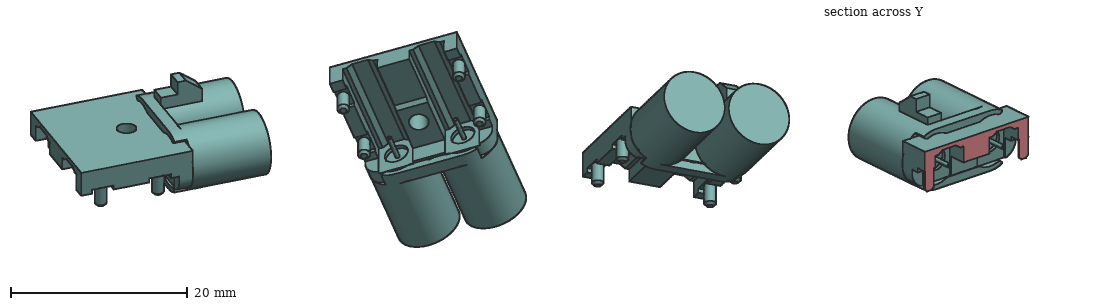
import cadquery as cq
import math

LENGTH = 23.2
WIDTH = 15.5
HEIGHT = 10.0

BARREL_DIA = 7.5
BARREL_RADIUS = BARREL_DIA / 2
BARREL_START = 13.65
COLLAR_START = 12.15
AXIS_X = (WIDTH - BARREL_DIA) / 2

BASE_HALF_WIDTH = 7.65
BASE_TOP = 2.78
BASE_BOTTOM = -0.2
WALL_START = 12.0
WALL_BOTTOM = -2.71
WALL_CORNER_RADIUS = 2.0
MOUNT_HOLE_DIA = 2.25
MOUNT_HOLE_Y = 8.63

POCKET_HALF_WIDTH = 2.09
POCKET_SHOULDER_Z = 1.79
POCKET_TOP = 2.23
POCKET_TOP_HALF_WIDTH = 0.95
POCKET_SHOULDER_HALF_WIDTH = 1.62
POCKET_END = 12.25
RIB_HALF_WIDTH = AXIS_X - POCKET_HALF_WIDTH
RAIL_WIDTH = BASE_HALF_WIDTH - AXIS_X - POCKET_HALF_WIDTH
RAIL_MIDDLE_X = BASE_HALF_WIDTH - RAIL_WIDTH / 2

RIB_RAISED_Z = 0.25
RIB_RAMP_START = 5.8
RIB_RAMP_LENGTH = RIB_RAISED_Z - BASE_BOTTOM
RIB_WALL_BOTTOM = -2.58

CONTACT_DIA = 0.5
CONTACT_TIP_CHAMFER = 0.16
CONTACT_TIP_Y = 9.67
CONTACT_RECESS_DIA = 2.8
CONTACT_RECESS_DEPTH = 0.46

PIN_DIA = 1.4
PIN_CHAMFER = 0.32
PIN_END = -2.27
PIN_X = BASE_HALF_WIDTH - PIN_DIA / 2
PIN_ROWS = (2.65, 9.65)
RELIEF_LENGTH = 2.65
RELIEF_TOP = 0.3

COLLAR_BORE_DIA = 6.3
COLLAR_BORE_RADIUS = COLLAR_BORE_DIA / 2
LIP_END_X = 1.79
LIP_INNER_X = 1.2
LIP_MIDDLE = (1.65, 3.06)
POST_DIA = 1.3

LATCH_WIDTH = 2.0
LATCH_ROOT_Z = 3.02
LATCH_STEP_Z = 4.66
LATCH_NOSE_Z = 4.78
LATCH_TOP = HEIGHT - BARREL_RADIUS
LATCH_CATCH_Y = 15.68
LATCH_CREST_Y = 16.7
LATCH_NOSE_Y = 18.68


def box(x0, x1, y0, y1, z0, z1):
    return cq.Workplane("XY").box(x1 - x0, y1 - y0, z1 - z0, centered=False).translate((x0, y0, z0))


def section(y):
    """Plane across the part at the given Y, drawn in X and Z; extrusion runs toward +Y."""
    return cq.Workplane(cq.Plane(origin=(0, y, 0), xDir=(1, 0, 0), normal=(0, -1, 0)))


def rod(x, dia, y0, y1):
    return section(y0).center(x, 0).circle(dia / 2).extrude(y0 - y1)


def base():
    plate = box(-BASE_HALF_WIDTH, BASE_HALF_WIDTH, 0, BARREL_START, BASE_BOTTOM, BASE_TOP)
    wall = box(-BASE_HALF_WIDTH, BASE_HALF_WIDTH, WALL_START, BARREL_START, WALL_BOTTOM, BASE_TOP)
    wall = wall.edges("|Y and <Z").fillet(WALL_CORNER_RADIUS)
    body = plate.union(wall)
    body = body.cut(box(-RIB_HALF_WIDTH, RIB_HALF_WIDTH, WALL_START, BARREL_START,
                        WALL_BOTTOM, RIB_WALL_BOTTOM))
    for side in (-1, 1):
        body = body.cut(pocket(side * AXIS_X))
    ramp = (
        cq.Workplane("YZ")
        .polyline([
            (0, BASE_BOTTOM),
            (0, RIB_RAISED_Z),
            (RIB_RAMP_START, RIB_RAISED_Z),
            (RIB_RAMP_START + RIB_RAMP_LENGTH, BASE_BOTTOM),
        ])
        .close()
        .extrude(RIB_HALF_WIDTH, both=True)
    )
    hole = cq.Workplane("XY", origin=(0, MOUNT_HOLE_Y, BASE_BOTTOM)).circle(MOUNT_HOLE_DIA / 2)
    return body.cut(ramp).cut(hole.extrude(BASE_TOP - BASE_BOTTOM))


def pocket(x):
    right_side = [
        (POCKET_TOP_HALF_WIDTH, POCKET_TOP),
        (POCKET_SHOULDER_HALF_WIDTH, POCKET_SHOULDER_Z),
        (POCKET_HALF_WIDTH, POCKET_SHOULDER_Z),
        (POCKET_HALF_WIDTH, WALL_BOTTOM),
    ]
    left_side = [(-px, pz) for px, pz in reversed(right_side)]
    return section(0).center(x, 0).polyline(right_side + left_side).close().extrude(-POCKET_END)


def collar():
    """Upper and lower lips: the outline around both barrels, opened up inside and at both ends."""
    depth = COLLAR_START - BARREL_START
    outline = section(COLLAR_START).rect(2 * AXIS_X, BARREL_DIA).extrude(depth)
    opening = section(COLLAR_START).rect(2 * AXIS_X, -2 * WALL_BOTTOM).extrude(depth)
    for side in (-1, 1):
        outline = outline.union(rod(side * AXIS_X, BARREL_DIA, COLLAR_START, BARREL_START))
        opening = opening.union(rod(side * AXIS_X, COLLAR_BORE_DIA, COLLAR_START, BARREL_START))
        opening = opening.union(lip_end(side))
    return outline.cut(opening)


def lip_end(side):
    """Space outside the rounded ends of both lips on one side."""
    inner_z = math.sqrt(COLLAR_BORE_RADIUS**2 - LIP_INNER_X**2)
    outer_z = math.sqrt(BARREL_RADIUS**2 - LIP_END_X**2)
    clear_x = BARREL_RADIUS + 0.23

    def point(x, z):
        return (side * (AXIS_X + x), z)

    return (
        section(COLLAR_START)
        .moveTo(*point(LIP_INNER_X, -inner_z))
        .threePointArc(point(LIP_MIDDLE[0], -LIP_MIDDLE[1]), point(LIP_END_X, -outer_z))
        .lineTo(*point(LIP_END_X, -BARREL_RADIUS))
        .lineTo(*point(clear_x, -BARREL_RADIUS))
        .lineTo(*point(clear_x, BARREL_RADIUS))
        .lineTo(*point(LIP_END_X, BARREL_RADIUS))
        .lineTo(*point(LIP_END_X, outer_z))
        .threePointArc(point(*LIP_MIDDLE), point(LIP_INNER_X, inner_z))
        .close()
        .extrude(COLLAR_START - BARREL_START)
    )


def post():
    """Short post bridging the gap between the rib wall and the lower lip."""
    y = (COLLAR_START + BARREL_START) / 2
    start = cq.Workplane("XY", origin=(0, y, WALL_BOTTOM))
    return start.circle(POST_DIA / 2).extrude(RIB_WALL_BOTTOM - WALL_BOTTOM)


def latch():
    return (
        cq.Workplane("YZ", origin=(-AXIS_X, 0, 0))
        .polyline([
            (BARREL_START, LATCH_ROOT_Z),
            (BARREL_START, LATCH_STEP_Z),
            (LATCH_CATCH_Y, LATCH_STEP_Z),
            (LATCH_CATCH_Y, LATCH_TOP),
            (LATCH_CREST_Y, LATCH_TOP),
            (LATCH_NOSE_Y, LATCH_NOSE_Z),
            (LATCH_NOSE_Y, LATCH_ROOT_Z),
        ])
        .close()
        .extrude(LATCH_WIDTH)
    )


def locating_pin(x, y):
    pin = cq.Workplane("XY", origin=(x, y, PIN_END)).circle(PIN_DIA / 2).extrude(RELIEF_TOP - PIN_END)
    return pin.faces("<Z").chamfer(PIN_CHAMFER)


def pin_relief(side, y):
    """Notch through the side rail, from its outer face to the pocket."""
    relief = cq.Workplane("XY", origin=(side * RAIL_MIDDLE_X, y, BASE_BOTTOM))
    return relief.rect(RAIL_WIDTH, RELIEF_LENGTH).extrude(RELIEF_TOP - BASE_BOTTOM)


def contact(x):
    return rod(x, CONTACT_DIA, CONTACT_TIP_Y, BARREL_START).faces("<Y").chamfer(CONTACT_TIP_CHAMFER)


result = base()
for side in (-1, 1):
    for y in PIN_ROWS:
        result = result.cut(pin_relief(side, y)).union(locating_pin(side * PIN_X, y))

result = result.union(collar()).union(post())
for side in (-1, 1):
    axis_x = side * AXIS_X
    result = result.union(rod(axis_x, BARREL_DIA, BARREL_START, LENGTH))
    result = result.cut(rod(axis_x, CONTACT_RECESS_DIA, POCKET_END, POCKET_END + CONTACT_RECESS_DEPTH))
    result = result.union(contact(axis_x))
result = result.union(latch()).clean()